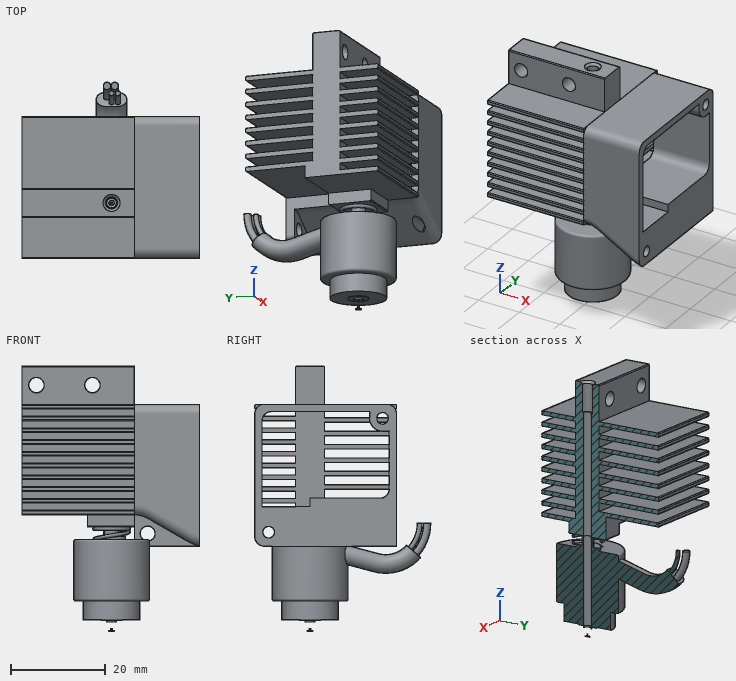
import cadquery as cq
import math


TOTAL_HEIGHT = 56.0
TOTAL_LENGTH = 37.5
AXIS_X = 18.9

SINK_LENGTH = 23.75
SINK_TOP = 47.9
SINK_BOTTOM = 24.6
FIN_THICKNESS = 1.0
FRONT_FIN_COUNT = 10
BACK_FIN_COUNT = 8
SINK_FRONT = -11.7
SINK_BACK = 18.25
BAR_HALF_WIDTH = 3.1
FOOT_HALF_WIDTH = 4.8
FOOT_HEIGHT = 2.6
BLOCK_START_X = 13.85
BLOCK_HEIGHT = 2.5
EDGE_CHAMFER = 0.2
MOUNT_HOLE_DIAMETER = 3.2
MOUNT_HOLE_X = (3.1, 14.9)
MOUNT_HOLE_Z = 51.95
FILAMENT_BORE = 1.95
INLET_BORE = 2.5
INLET_DIAMETER = 3.6
INLET_CONE_DEPTH = (INLET_DIAMETER - INLET_BORE) / 2
INLET_DEPTH = 6.7

SHROUD_SIDE = SINK_BACK - SINK_FRONT
SHROUD_FILLET = 2.0
SHROUD_LIP_FILLET = 1.0
SHROUD_WALL = 1.55
SHROUD_BACK_WALL = 1.95
FLOOR_ANGLE = 30.0
FLOOR_BEND_RADIUS = 6.0
FLOOR_SLOPE_END_X = 34.6
DUCT_FLOOR_FRONT = 26.3
DUCT_FLOOR_BACK = 28.1
FAN_HOLE_SPACING = 24.0
FAN_HOLE_DIAMETER = 2.4
FAN_BOSS_RADIUS = 2.75
SIDE_HOLE_DIAMETER = 3.1
SIDE_HOLE_X = 26.55
SIDE_HOLE_Z = 20.65

HEATER_DIAMETER = 16.0
HEATER_TOP = 19.45
HEATER_BOTTOM = 6.4
HEATER_FILLET = 0.5
LOWER_DIAMETER = 12.0
LOWER_BOTTOM = 2.45
FLANGE_DIAMETER = 4.4
FLANGE_BOTTOM = 2.3
OUTLET_DIAMETER = 2.05
OUTLET_BOTTOM = 1.95
COLLAR_DIAMETER = 6.0
COLLAR_HEIGHT = 0.6
HEAT_BREAK_DIAMETER = 3.0
SPRING_WIRE = 0.8
SPRING_RADIUS = 3.6
SPRING_PITCH = 3.35
SPRING_START_Z = 17.7
SPRING_RING_DROP = 0.1

CABLE_THICKNESS = 4.0
CABLE_WIDTH = 6.5
CABLE_DROOP = 15.0
CABLE_TURN = 64.0
CABLE_BEND_RADIUS = 7.8
CABLE_START_Y = 5.05
CABLE_BEND_Y = 13.95
CABLE_BEND_Z = 14.5
WIRE_END_Z = 22.85
WIRE_TURN = 46.0
THICK_WIRE = 1.55
THICK_WIRE_RADIUS = 9.65
THICK_WIRE_Y = 24.7
THICK_WIRE_X = (18.0, 19.6)
THIN_WIRE = 1.05
THIN_WIRE_RADIUS = 7.95
THIN_WIRE_Y = 23.1
THIN_WIRE_X = (18.9, 20.25)

TIP_DISC_DIAMETER = 1.25
TIP_DISC_HEIGHT = 0.15
TIP_DISC_CHAMFER = 0.085
TIP_STEM_DIAMETER = 0.385
TIP_HEIGHT = 0.65
TIP_ORIFICE = 0.2

BLOCK_BOTTOM = SINK_BOTTOM - BLOCK_HEIGHT
SHROUD_BOTTOM = SINK_TOP - SHROUD_SIDE
SHROUD_DEPTH = TOTAL_LENGTH - SINK_LENGTH
FAN_CENTER_Y = (SINK_FRONT + SINK_BACK) / 2
FAN_CENTER_Z = (SINK_TOP + SHROUD_BOTTOM) / 2


def box(x, y, z):
    """Box between the two given limits along each axis."""
    size = (x[1] - x[0], y[1] - y[0], z[1] - z[0])
    return cq.Workplane("XY").box(*size, centered=False).translate((x[0], y[0], z[0]))


def cylinder(diameter, bottom, top):
    """Vertical cylinder on the hot end axis."""
    return cq.Workplane("XY", origin=(AXIS_X, 0, bottom)).circle(diameter / 2).extrude(top - bottom)


def x_cylinder(radius, y, z):
    """Cylinder along X through the whole depth of the shroud."""
    return cq.Workplane("YZ", origin=(SINK_LENGTH, y, z)).circle(radius).extrude(SHROUD_DEPTH)


def fin_row(count, lowest, y_range, tip_side):
    """Evenly spaced fins on one side of the bar, with chamfered tips."""
    pitch = (SINK_TOP - FIN_THICKNESS - lowest) / (count - 1)
    fins = cq.Workplane("XY")
    for index in range(count):
        bottom = lowest + index * pitch
        fin = box((0, SINK_LENGTH), y_range, (bottom, bottom + FIN_THICKNESS))
        fins = fins.add(fin.faces(tip_side).edges("|X").chamfer(EDGE_CHAMFER))
    return fins.combine()


def filament_inlet():
    """Conical lead-in and bore that open at the top of the bar."""
    profile = cq.Workplane("XZ", origin=(AXIS_X, 0, TOTAL_HEIGHT)).polyline([
        (0, 0),
        (INLET_DIAMETER / 2, 0),
        (INLET_BORE / 2, -INLET_CONE_DEPTH),
        (INLET_BORE / 2, -INLET_DEPTH),
        (0, -INLET_DEPTH),
    ]).close()
    return profile.revolve(360, (0, 0, 0), (0, 1, 0))


def make_heatsink():
    foot_top = SINK_BOTTOM + FOOT_HEIGHT
    bar_y = (-BAR_HALF_WIDTH, BAR_HALF_WIDTH)
    bar = box((0, SINK_LENGTH), bar_y, (SINK_BOTTOM, TOTAL_HEIGHT))
    bar = bar.faces(">Z").edges("|X").chamfer(EDGE_CHAMFER)
    foot = box((0, SINK_LENGTH), (0, FOOT_HALF_WIDTH), (SINK_BOTTOM, foot_top))
    block_y = (-FOOT_HALF_WIDTH, FOOT_HALF_WIDTH)
    block = box((BLOCK_START_X, SINK_LENGTH), block_y, (BLOCK_BOTTOM, SINK_BOTTOM))
    block = block.faces("<Z").edges("|X").chamfer(EDGE_CHAMFER)
    front_fins = fin_row(FRONT_FIN_COUNT, SINK_BOTTOM, (SINK_FRONT, 0), "<Y")
    back_fins = fin_row(BACK_FIN_COUNT, foot_top, (0, SINK_BACK), ">Y")
    sink = bar.union(front_fins).union(back_fins).union(foot).union(block)

    mount_holes = (
        cq.Workplane("XZ")
        .pushPoints([(x, MOUNT_HOLE_Z) for x in MOUNT_HOLE_X])
        .circle(MOUNT_HOLE_DIAMETER / 2)
        .extrude(BAR_HALF_WIDTH, both=True)
    )
    bore = cylinder(FILAMENT_BORE, BLOCK_BOTTOM, TOTAL_HEIGHT)
    return sink.cut(mount_holes).cut(bore).cut(filament_inlet())


def shroud_housing():
    """Outer shape, with its floor bending down and levelling out again."""
    angle = math.radians(FLOOR_ANGLE)
    bend_x = SINK_LENGTH + FLOOR_BEND_RADIUS * math.sin(angle)
    bend_z = SINK_BOTTOM - FLOOR_BEND_RADIUS * (1 - math.cos(angle))
    slope_end_z = bend_z - (FLOOR_SLOPE_END_X - bend_x) * math.tan(angle)
    housing = (
        cq.Workplane("XZ", origin=(0, SINK_BACK, 0))
        .moveTo(SINK_LENGTH, SINK_BOTTOM)
        .radiusArc((bend_x, bend_z), FLOOR_BEND_RADIUS)
        .lineTo(FLOOR_SLOPE_END_X, slope_end_z)
        .tangentArcPoint((TOTAL_LENGTH, SHROUD_BOTTOM), relative=False)
        .lineTo(TOTAL_LENGTH, SINK_TOP)
        .lineTo(SINK_LENGTH, SINK_TOP)
        .close()
        .extrude(SHROUD_SIDE)
    )
    housing = housing.edges("|X and >Z").fillet(SHROUD_FILLET)
    margin = 0.55
    floor_edge = cq.selectors.BoxSelector(
        (SINK_LENGTH - margin, SINK_FRONT - margin, SHROUD_BOTTOM - margin),
        (TOTAL_LENGTH + margin, SINK_FRONT + margin, SINK_BOTTOM + margin),
        boundingbox=True,
    )
    return housing.edges(floor_edge).fillet(SHROUD_FILLET)


def shroud_back_wall():
    """Wall below the sloped floor on the back side."""
    wall = box(
        (SINK_LENGTH, TOTAL_LENGTH),
        (SINK_BACK - SHROUD_BACK_WALL, SINK_BACK),
        (SHROUD_BOTTOM, FAN_CENTER_Z),
    )
    return wall.edges("|Y and <X and <Z").fillet(SHROUD_LIP_FILLET)


def shroud_duct():
    """Air passage along X, with a corner left solid for the upper fan screw."""
    x_range = (SINK_LENGTH, TOTAL_LENGTH)
    front = SINK_FRONT + SHROUD_WALL
    back = SINK_BACK - SHROUD_WALL
    top = SINK_TOP - SHROUD_WALL
    duct = box(x_range, (front, back), (DUCT_FLOOR_BACK, top))
    duct = duct.edges("|X").edges("<Y and >Z or >Y and <Z").fillet(SHROUD_FILLET)
    low_part = box(x_range, (front, 0), (DUCT_FLOOR_FRONT, FAN_CENTER_Z))
    boss_y = FAN_CENTER_Y + FAN_HOLE_SPACING / 2
    boss_z = FAN_CENTER_Z + FAN_HOLE_SPACING / 2
    boss = x_cylinder(FAN_BOSS_RADIUS, boss_y, boss_z)
    boss_above = box(x_range, (boss_y - FAN_BOSS_RADIUS, back), (boss_z, top))
    boss_behind = box(x_range, (boss_y, back), (boss_z - FAN_BOSS_RADIUS, boss_z))
    return duct.union(low_part).cut(boss).cut(boss_above).cut(boss_behind)


def make_shroud():
    shroud = shroud_housing().union(shroud_back_wall()).cut(shroud_duct())
    for side in (-1, 1):
        offset = side * FAN_HOLE_SPACING / 2
        hole = x_cylinder(FAN_HOLE_DIAMETER / 2, FAN_CENTER_Y + offset, FAN_CENTER_Z + offset)
        shroud = shroud.cut(hole)
    side_hole = (
        cq.Workplane("XZ", origin=(SIDE_HOLE_X, SINK_BACK, SIDE_HOLE_Z))
        .circle(SIDE_HOLE_DIAMETER / 2)
        .extrude(SHROUD_BACK_WALL)
    )
    return shroud.cut(side_hole)


def make_spring():
    """Rising coil that runs into a closed end ring under the mounting block."""
    ring_z = BLOCK_BOTTOM - SPRING_WIRE / 2
    coil_height = ring_z - SPRING_RING_DROP - SPRING_START_Z
    path = cq.Wire.makeHelix(SPRING_PITCH, coil_height, SPRING_RADIUS)
    coil = (
        cq.Workplane("XZ")
        .center(SPRING_RADIUS, 0)
        .circle(SPRING_WIRE / 2)
        .sweep(cq.Workplane(path), isFrenet=True)
        .translate((AXIS_X, 0, SPRING_START_Z))
    )
    ring = (
        cq.Workplane("XZ", origin=(AXIS_X, 0, ring_z))
        .center(SPRING_RADIUS, 0)
        .circle(SPRING_WIRE / 2)
        .revolve(360, (-SPRING_RADIUS, 0, 0), (-SPRING_RADIUS, 1, 0))
    )
    return coil.union(ring)


def make_cable():
    """Flat-sided cable that leaves the heater and bends upwards."""
    start_angle = math.radians(-CABLE_DROOP)
    end_angle = math.radians(CABLE_TURN - CABLE_DROOP)
    start_z = CABLE_BEND_Z + (CABLE_BEND_Y - CABLE_START_Y) * math.tan(math.radians(CABLE_DROOP))
    end_y = CABLE_BEND_Y + CABLE_BEND_RADIUS * (math.sin(end_angle) - math.sin(start_angle))
    end_z = CABLE_BEND_Z + CABLE_BEND_RADIUS * (math.cos(start_angle) - math.cos(end_angle))
    path = (
        cq.Workplane("YZ", origin=(AXIS_X, 0, 0))
        .moveTo(CABLE_START_Y, start_z)
        .lineTo(CABLE_BEND_Y, CABLE_BEND_Z)
        .tangentArcPoint((end_y, end_z), relative=False)
    )
    direction = (0, math.cos(start_angle), math.sin(start_angle))
    section = cq.Plane(origin=(AXIS_X, CABLE_START_Y, start_z), xDir=(1, 0, 0), normal=direction)
    return cq.Workplane(section).slot2D(CABLE_WIDTH, CABLE_THICKNESS).sweep(path)


def make_wire(diameter, radius, x, end_y):
    """Wire that bends up out of the cable to a vertical end."""
    end_face = cq.Workplane("XY", origin=(x, end_y, WIRE_END_Z)).circle(diameter / 2)
    return end_face.revolve(WIRE_TURN, (0.55, -radius, 0), (-0.55, -radius, 0))


def make_heater():
    core = cylinder(HEATER_DIAMETER, HEATER_BOTTOM, HEATER_TOP).edges().fillet(HEATER_FILLET)
    heater = (
        core.union(cylinder(LOWER_DIAMETER, LOWER_BOTTOM, HEATER_BOTTOM))
        .union(cylinder(FLANGE_DIAMETER, FLANGE_BOTTOM, LOWER_BOTTOM))
        .union(cylinder(OUTLET_DIAMETER, OUTLET_BOTTOM, FLANGE_BOTTOM))
        .union(cylinder(COLLAR_DIAMETER, HEATER_TOP, HEATER_TOP + COLLAR_HEIGHT))
        .union(cylinder(HEAT_BREAK_DIAMETER, HEATER_TOP, BLOCK_BOTTOM))
        .union(make_spring())
        .union(make_cable())
    )
    for x in THICK_WIRE_X:
        heater = heater.union(make_wire(THICK_WIRE, THICK_WIRE_RADIUS, x, THICK_WIRE_Y))
    for x in THIN_WIRE_X:
        heater = heater.union(make_wire(THIN_WIRE, THIN_WIRE_RADIUS, x, THIN_WIRE_Y))
    return heater.cut(cylinder(FILAMENT_BORE, OUTLET_BOTTOM, BLOCK_BOTTOM))


def make_tip():
    disc = cylinder(TIP_DISC_DIAMETER, 0, TIP_DISC_HEIGHT).faces("<Z").edges().chamfer(TIP_DISC_CHAMFER)
    stem = cylinder(TIP_STEM_DIAMETER, TIP_DISC_HEIGHT, TIP_HEIGHT)
    return disc.union(stem).cut(cylinder(TIP_ORIFICE, 0, TIP_HEIGHT))


heatsink = make_heatsink()
shroud = make_shroud()
heater = make_heater()
tip = make_tip()

result = cq.Compound.makeCompound([heatsink.val(), shroud.val(), heater.val(), tip.val()])